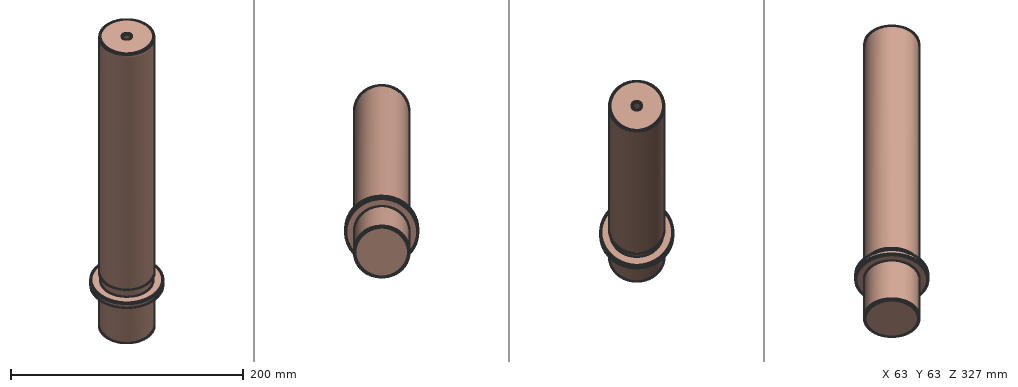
import cadquery as cq

total_length = 327.0
shaft_diameter = 48.0
neck_diameter = 46.0
flange_diameter = 63.0

flange_bottom = 46.5
flange_thickness = 6.2
neck_top = 60.5
flange_top = flange_bottom + flange_thickness

lead_in_height = 4.3
lead_in_width = 0.3
rim_chamfer = 1.0
shoulder_height = 1.0
bottom_chamfer = 1.3
flange_chamfer = 1.0

hole_diameter = 7.0
hole_mouth_diameter = 8.8
hole_depth = 19.5


def cylinder(diameter, bottom, top):
    """Solid cylinder on the Z axis between two heights."""
    return cq.Workplane("XY").workplane(offset=bottom).circle(diameter / 2).extrude(top - bottom)


spigot = cylinder(shaft_diameter, 0, flange_bottom).faces("<Z").chamfer(bottom_chamfer)

flange = cylinder(flange_diameter, flange_bottom, flange_top).edges().chamfer(flange_chamfer)

neck = cylinder(neck_diameter, flange_bottom, neck_top)

shaft_radius = shaft_diameter / 2
rim_radius = shaft_radius - lead_in_width
shaft = (
    cq.Workplane("XZ")
    .moveTo(0, neck_top)
    .lineTo(neck_diameter / 2, neck_top)
    .lineTo(shaft_radius, neck_top + shoulder_height)
    .lineTo(shaft_radius, total_length - lead_in_height)
    .lineTo(rim_radius, total_length - rim_chamfer)
    .lineTo(rim_radius - rim_chamfer, total_length)
    .lineTo(0, total_length)
    .close()
    .revolve(360, (0, 0, 0), (0, 1, 0))
)

hole = cylinder(hole_diameter, total_length - hole_depth, total_length)
mouth_depth = (hole_mouth_diameter - hole_diameter) / 2
shaft = shaft.cut(hole)
shaft = shaft.edges(cq.selectors.RadiusNthSelector(0)).edges(">Z").chamfer(mouth_depth)

result = spigot.union(flange).union(neck).union(shaft)